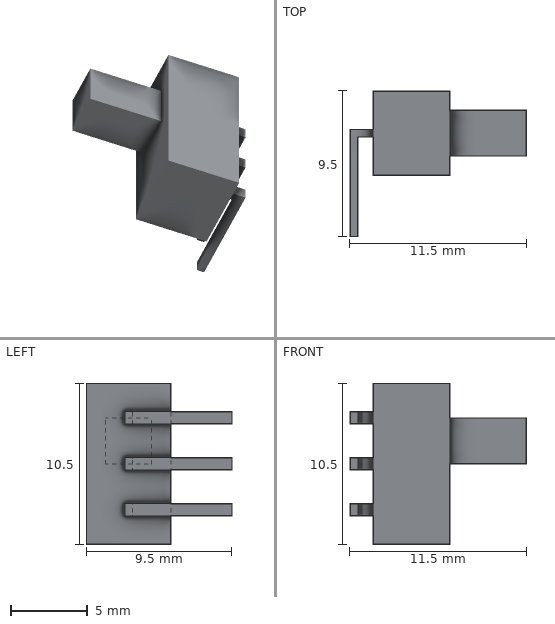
import cadquery as cq

body_depth = 5.0
body_width = 5.5
body_height = 10.5

actuator_length = 5.0
actuator_side = 3.0
actuator_offset = 1.5

pin_count = 3
pin_pitch = 3.0
pin_thickness = 0.5
pin_height = 0.8
pin_standoff = 1.5
pin_leg_length = 7.0

body_back = -body_depth / 2
body_front = body_depth / 2


def make_body():
    return cq.Workplane("XY").box(body_depth, body_width, body_height)


def make_actuator():
    center_x = body_front + actuator_length / 2
    return (
        cq.Workplane("XY")
        .box(actuator_length, actuator_side, actuator_side)
        .translate((center_x, 0, actuator_offset))
    )


def make_pin(center_z):
    """L-shaped pin leaving the body along -X and bending toward -Y."""
    outer_x = body_back - pin_standoff
    inner_x = outer_x + pin_thickness
    root_top_y = pin_thickness / 2
    root_bottom_y = -pin_thickness / 2
    tip_y = root_top_y - pin_leg_length
    outline = [
        (body_back, root_top_y),
        (outer_x, root_top_y),
        (outer_x, tip_y),
        (inner_x, tip_y),
        (inner_x, root_bottom_y),
        (body_back, root_bottom_y),
    ]
    return (
        cq.Workplane("XY")
        .workplane(offset=center_z - pin_height / 2)
        .polyline(outline)
        .close()
        .extrude(pin_height)
    )


result = make_body().union(make_actuator())
for index in range(pin_count):
    pin_z = (index - (pin_count - 1) / 2) * pin_pitch
    result = result.union(make_pin(pin_z))